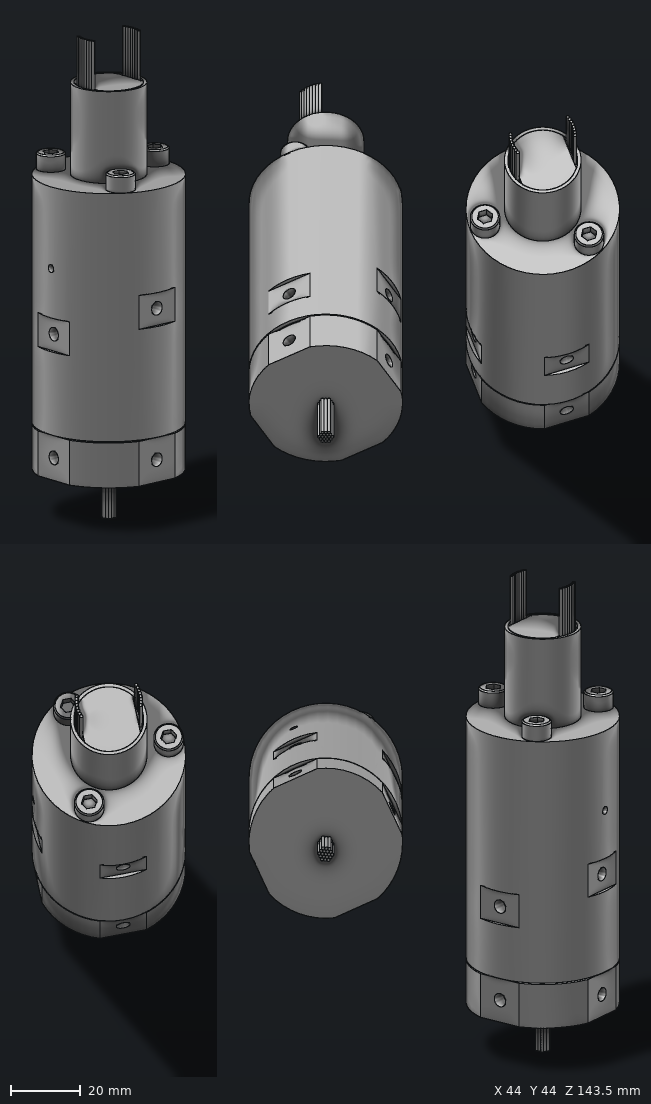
import cadquery as cq
import math

total_height = 143.5
base_bottom = 14.5
body_bottom = 28.3
body_top = 101.9
tube_top = 129.2
seam_height = 0.5

body_diameter = 44.0
flat_distance = 21.0

tube_diameter = 22.0
tube_bore = 20.0
plug_recess = 0.1
plug_half_width = 8.2
slot_depth = 1.5

wire_pitch = 0.93
wire_clearance = 0.03
wire_diameter = wire_pitch - wire_clearance
wire_embedding = 1.5
upper_wire_count = 8
upper_wire_circle = 9.25
bundle_rings = 2

port_mouth = 4.0
port_floor = 2.5
port_depth = 3.6
base_port_height = 21.2
pocket_height = 10.0
lowest_pocket = 41.6
pocket_step = 8.2
pin_hole_mouth = 2.3
pin_hole_floor = 1.0
pin_hole_depth = 2.2
pin_hole_height = 77.6

screw_count = 3
first_screw_angle = 90.0
screw_circle = 17.5
head_diameter = 8.5
head_height = 5.0
head_chamfer = 0.5
socket_flats = 4.0
socket_depth = 2.9


def cylinder(diameter, bottom, top, x=0.0, y=0.0):
    """Vertical cylinder between two heights."""
    return cq.Workplane("XY", origin=(x, y, bottom)).circle(diameter / 2).extrude(top - bottom)


def on_side(shape, angle):
    """Turn a cutter made for the +X side to another side of the housing."""
    return shape.rotate((0, 0, 0), (0, 0, 1), angle)


def flat_cutter(bottom, top):
    """Block that leaves a flat face on the +X side."""
    thickness = body_diameter / 2
    return (
        cq.Workplane("XY", origin=(flat_distance + thickness / 2, 0, bottom))
        .rect(thickness, body_diameter)
        .extrude(top - bottom)
    )


def tapered_cutter(surface, mouth_diameter, floor_diameter, depth, height):
    """Cone narrowing inward from a surface on the +X side to a flat floor."""
    return (
        cq.Workplane("YZ", origin=(surface, 0, height))
        .circle(mouth_diameter / 2)
        .workplane(offset=-depth)
        .circle(floor_diameter / 2)
        .loft(ruled=True)
    )


def port_cutter(height):
    """Tapered port in the flat on the +X side."""
    return tapered_cutter(flat_distance, port_mouth, port_floor, port_depth, height)


def make_housing():
    """Round housing with ported flats on the base and stepped pockets above."""
    housing = cylinder(body_diameter, base_bottom, body_top)
    for step, angle in enumerate((90, 180, 270, 360)):
        height = lowest_pocket + step * pocket_step
        base_flat = flat_cutter(base_bottom, body_bottom)
        pocket = flat_cutter(height - pocket_height / 2, height + pocket_height / 2)
        for cutter in (base_flat, pocket, port_cutter(base_port_height), port_cutter(height)):
            housing = housing.cut(on_side(cutter, angle))
    seam = cylinder(body_diameter, body_bottom - seam_height, body_bottom)
    seam = seam.cut(cylinder(2 * flat_distance, body_bottom - seam_height, body_bottom))
    return housing.cut(seam)


def cut_pin_hole(housing):
    """Small tapered hole in the round -Y side."""
    cutter = tapered_cutter(
        body_diameter / 2, pin_hole_mouth, pin_hole_floor, pin_hole_depth, pin_hole_height
    )
    return housing.cut(on_side(cutter, 270))


def make_tube():
    """Cable tube closed by a plug with a wire slot on the -Y and +Y sides."""
    plug_top = tube_top - plug_recess
    tube = cylinder(tube_diameter, body_top, tube_top)
    tube = tube.cut(cylinder(tube_bore, plug_top, tube_top))
    slots = cylinder(tube_bore, plug_top - slot_depth, plug_top)
    slots = slots.cut(
        cq.Workplane("XY", origin=(0, 0, plug_top - slot_depth))
        .rect(tube_bore, 2 * plug_half_width)
        .extrude(slot_depth)
    )
    return tube.cut(slots)


def upper_wires():
    """Two arced rows of wires standing in the slots of the tube."""
    bottom = tube_top - plug_recess - slot_depth - wire_embedding
    pitch_angle = 2 * math.asin(wire_pitch / 2 / upper_wire_circle)
    wires = []
    for middle in (math.pi / 2, -math.pi / 2):
        for index in range(upper_wire_count):
            angle = middle + (index - (upper_wire_count - 1) / 2) * pitch_angle
            x = upper_wire_circle * math.cos(angle)
            y = upper_wire_circle * math.sin(angle)
            wires.append(cylinder(wire_diameter, bottom, total_height, x, y))
    return wires


def lower_wires():
    """Hexagonally packed bundle of wires hanging from the base."""
    wires = []
    for column in range(-bundle_rings, bundle_rings + 1):
        column_count = 2 * bundle_rings + 1 - abs(column)
        x = column * wire_pitch * math.sqrt(3) / 2
        for index in range(column_count):
            y = (index - (column_count - 1) / 2) * wire_pitch
            top = base_bottom + wire_embedding
            wires.append(cylinder(wire_diameter, 0, top, x, y))
    return wires


def make_screw_head(angle):
    """Socket head standing on the body top at the given angle."""
    head = cylinder(head_diameter, 0, head_height).faces(">Z").edges().chamfer(head_chamfer)
    socket = (
        cq.Workplane("XY", origin=(0, 0, head_height - socket_depth))
        .polygon(6, socket_flats / math.cos(math.pi / 6))
        .extrude(socket_depth)
        .rotate((0, 0, 0), (0, 0, 1), 90)
    )
    x = screw_circle * math.cos(math.radians(angle))
    y = screw_circle * math.sin(math.radians(angle))
    return head.cut(socket).translate((x, y, body_top))


result = cut_pin_hole(make_housing()).union(make_tube())
for screw in range(screw_count):
    result = result.union(make_screw_head(first_screw_angle + screw * 360 / screw_count))
for wire in upper_wires() + lower_wires():
    result = result.union(wire)